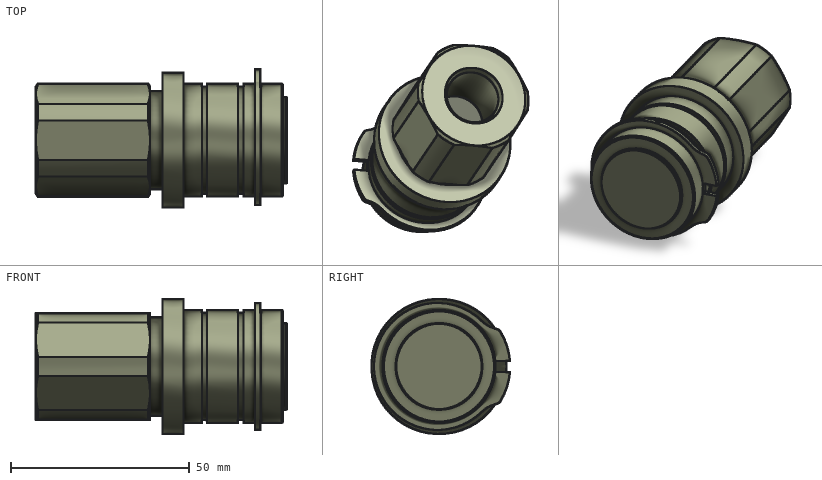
import cadquery as cq
import math

LENGTH = 70.5
HEX_END = 32.15
FLANGE_START = 35.5
FLANGE_END = 41.5
BODY_END = 69.45

HEX_ACROSS_FLATS = 29.95
HEX_ROUND_DIAMETER = 31.95
NECK_DIAMETER = 27.7
FLANGE_DIAMETER = 38.0
BODY_DIAMETER = 31.8
STUB_DIAMETER = 24.4

HEX_CHAMFER_DIAMETER = 29.75
HEX_CHAMFER_LENGTH = 0.6
BODY_CHAMFER = 0.4
STUB_CHAMFER_LENGTH = 0.35
STUB_CHAMFER_DEPTH = 0.2

GROOVE_DIAMETER = 30.2
GROOVE_FLOOR_FILLET = 0.2
SEAL_GROOVES = ((46.7, 48.1), (56.75, 58.4))

RING_START = 61.55
RING_THICKNESS = 1.55
RING_SIDE_CLEARANCE = 0.2
RING_RADIUS = 17.85
RING_CENTRE_Y = -0.4
RING_GAP = 3.2

LUG_RADIUS = 18.6
LUG_CENTRE_Y = 1.4
LUG_HALF_ANGLE = math.radians(31.5)
LUG_CORNER_RADIUS = 1.8
LUG_FILLET_RADIUS = 8.1

BORE_DIAMETER = 14.9
BORE_DEPTH = 21.15
BORE_MOUTH_DIAMETER = 16.65
BORE_MOUTH_LENGTH = 1.4


def cylinder(start, end, diameter):
    """Cylinder on the X axis between two stations."""
    return cq.Workplane("YZ").workplane(offset=start).circle(diameter / 2).extrude(end - start)


def cut_groove(body, start, end, floor_fillet=0):
    """Cut a square groove around the body, with an optional fillet at its floor."""
    groove = cylinder(start, end, FLANGE_DIAMETER).cut(cylinder(start, end, GROOVE_DIAMETER))
    if floor_fillet:
        groove = groove.edges(cq.selectors.RadiusNthSelector(0)).fillet(floor_fillet)
    return body.cut(groove)


def make_hexagon():
    """Hexagon with turned corners, chamfered by a cone at both ends."""
    across_corners = HEX_ACROSS_FLATS / math.cos(math.pi / 6)
    hexagon = cq.Workplane("YZ").polygon(6, across_corners).extrude(HEX_END)
    turned_corners = (
        cylinder(0, HEX_END, HEX_ROUND_DIAMETER)
        .edges()
        .chamfer(HEX_CHAMFER_LENGTH, (HEX_ROUND_DIAMETER - HEX_CHAMFER_DIAMETER) / 2)
    )
    return hexagon.intersect(turned_corners)


def make_body():
    """Turned neck, flange, grooved body and end stub."""
    body = cylinder(FLANGE_END, BODY_END, BODY_DIAMETER).faces(">X").chamfer(BODY_CHAMFER)
    for start, end in SEAL_GROOVES:
        body = cut_groove(body, start, end, GROOVE_FLOOR_FILLET)
    body = cut_groove(body, RING_START, RING_START + RING_THICKNESS + RING_SIDE_CLEARANCE)
    neck = cylinder(HEX_END, FLANGE_START, NECK_DIAMETER)
    flange = cylinder(FLANGE_START, FLANGE_END, FLANGE_DIAMETER)
    stub = (
        cylinder(BODY_END, LENGTH, STUB_DIAMETER)
        .edges(">X")
        .chamfer(STUB_CHAMFER_LENGTH, STUB_CHAMFER_DEPTH)
    )
    return body.union(neck).union(flange).union(stub)


def towards(start, end, distance):
    """Point at a distance from start on the line to end."""
    share = distance / math.dist(start, end)
    return (start[0] + share * (end[0] - start[0]), start[1] + share * (end[1] - start[1]))


def circle_crossing(centre_a, radius_a, centre_b, radius_b):
    """Crossing of two circles that lies to the left when going from centre a to centre b."""
    span = math.dist(centre_a, centre_b)
    along = (radius_a**2 - radius_b**2 + span**2) / (2 * span)
    aside = math.sqrt(radius_a**2 - along**2)
    foot = towards(centre_a, centre_b, along)
    step_y = (centre_b[0] - centre_a[0]) / span
    step_z = (centre_b[1] - centre_a[1]) / span
    return (foot[0] - aside * step_z, foot[1] + aside * step_y)


def make_ring():
    """Retaining ring whose lug blends into it by a corner arc and a hollow fillet, all tangent."""
    ring_centre = (RING_CENTRE_Y, 0)
    lug_centre = (LUG_CENTRE_Y, 0)
    corner_offset = LUG_RADIUS - LUG_CORNER_RADIUS
    corner_centre = (
        LUG_CENTRE_Y + corner_offset * math.cos(LUG_HALF_ANGLE),
        corner_offset * math.sin(LUG_HALF_ANGLE),
    )
    fillet_centre = circle_crossing(
        ring_centre,
        RING_RADIUS + LUG_FILLET_RADIUS,
        corner_centre,
        LUG_CORNER_RADIUS + LUG_FILLET_RADIUS,
    )

    lug_end = towards(lug_centre, corner_centre, LUG_RADIUS)
    corner_end = towards(corner_centre, fillet_centre, LUG_CORNER_RADIUS)
    fillet_end = towards(ring_centre, fillet_centre, RING_RADIUS)
    lug_tip = (LUG_CENTRE_Y + LUG_RADIUS, 0)
    ring_far_side = (RING_CENTRE_Y - RING_RADIUS, 0)

    def mirrored(point):
        return (point[0], -point[1])

    outline = (
        cq.Workplane("YZ")
        .workplane(offset=RING_START)
        .moveTo(*mirrored(lug_end))
        .threePointArc(lug_tip, lug_end)
        .tangentArcPoint(corner_end, relative=False)
        .tangentArcPoint(fillet_end, relative=False)
        .threePointArc(ring_far_side, mirrored(fillet_end))
        .tangentArcPoint(mirrored(corner_end), relative=False)
        .tangentArcPoint(mirrored(lug_end), relative=False)
        .close()
    )
    ring = outline.extrude(RING_THICKNESS)

    gap = cq.Workplane("XY", origin=(RING_START, 0, 0)).box(
        RING_THICKNESS, FLANGE_DIAMETER, RING_GAP, centered=(False, False, True)
    )
    bore = cylinder(RING_START, RING_START + RING_THICKNESS, GROOVE_DIAMETER)
    return ring.cut(gap).cut(bore)


def make_bore():
    """Blind bore with a conical mouth."""
    mouth_radius = BORE_MOUTH_DIAMETER / 2
    bore_radius = BORE_DIAMETER / 2
    return (
        cq.Workplane("XY")
        .polyline(
            [
                (0, 0),
                (0, mouth_radius),
                (BORE_MOUTH_LENGTH, bore_radius),
                (BORE_DEPTH, bore_radius),
                (BORE_DEPTH, 0),
            ]
        )
        .close()
        .revolve(360, (0, 0, 0), (1, 0, 0))
    )


result = make_hexagon().union(make_body()).union(make_ring()).cut(make_bore())